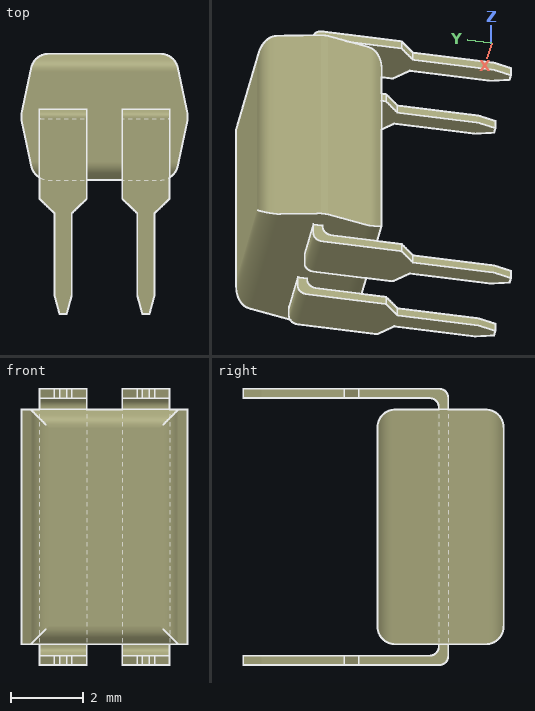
import cadquery as cq
import math


housing_width = 4.6
housing_depth = 3.5
housing_length = 6.5
band_depth = 0.19
side_draft = 12.0
housing_edge_radius = 0.5

lead_pitch = 2.29
lead_span = 7.65
lead_thickness = 0.265
bend_radius = 0.25
lead_back = 0.215
shoulder_start = -2.27
shoulder_end = -2.67
tip_start = -4.95
tip_end = -5.46
wide_width = 1.31
pin_width = 0.48
tip_width = 0.2


def make_housing_block():
    """Six-sided prism with drafted sides and rounded front and back faces."""
    half_depth = housing_depth / 2
    half_band = band_depth / 2
    side_x = housing_width / 2
    face_x = side_x - (half_depth - half_band) * math.tan(math.radians(side_draft))
    outline = [
        (face_x, -half_depth),
        (side_x, -half_band),
        (side_x, half_band),
        (face_x, half_depth),
        (-face_x, half_depth),
        (-side_x, half_band),
        (-side_x, -half_band),
        (-face_x, -half_depth),
    ]
    block = cq.Workplane("XY").polyline(outline).close().extrude(housing_length / 2, both=True)
    return block.faces("<Y or >Y").edges().fillet(housing_edge_radius)


def make_lead(center_x):
    """One staple-shaped lead: a strip through the housing with a leg bent to -Y at each end."""
    outer_z = lead_span / 2
    inner_z = outer_z - lead_thickness
    inner_y = lead_back - lead_thickness
    bent_profile = [
        (tip_end, outer_z),
        (lead_back, outer_z),
        (lead_back, -outer_z),
        (tip_end, -outer_z),
        (tip_end, -inner_z),
        (inner_y, -inner_z),
        (inner_y, inner_z),
        (tip_end, inner_z),
    ]
    strip = cq.Workplane("YZ").polyline(bent_profile).close().extrude(wide_width / 2, both=True)
    bend_edges = strip.edges(cq.selectors.BoxSelector(
        (-wide_width, inner_y - lead_thickness, -lead_span),
        (wide_width, lead_back + lead_thickness, lead_span),
    )).edges("|X")
    strip = bend_edges.fillet(bend_radius)

    half_outline = [
        (wide_width / 2, lead_back),
        (wide_width / 2, shoulder_start),
        (pin_width / 2, shoulder_end),
        (pin_width / 2, tip_start),
        (tip_width / 2, tip_end),
    ]
    mirrored_outline = [(-x, y) for x, y in reversed(half_outline)]
    leg_outline = cq.Workplane("XY").polyline(half_outline + mirrored_outline).close()
    lead = strip.intersect(leg_outline.extrude(lead_span, both=True))
    return lead.translate((center_x, 0, 0)).solids()


leads = [make_lead(side * lead_pitch / 2) for side in (-1, 1)]

housing = make_housing_block()
for lead in leads:
    housing = housing.cut(lead).solids()

result = cq.Compound.makeCompound([housing.val(), *[lead.val() for lead in leads]])